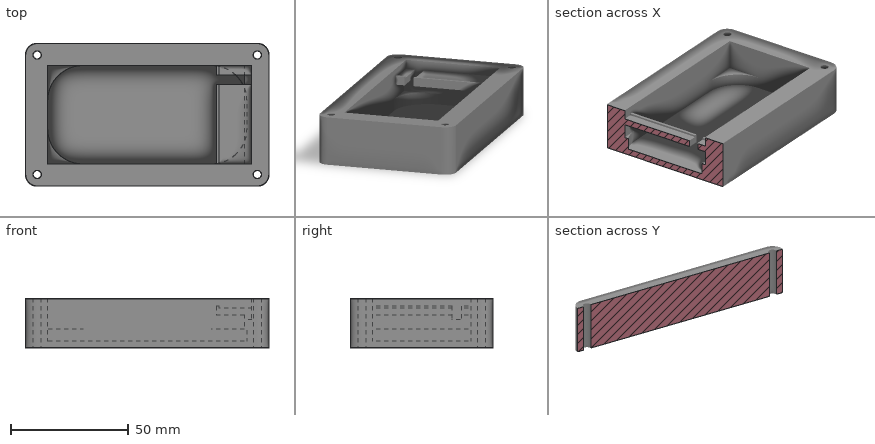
import cadquery as cq

LENGTH = 104.0
WIDTH = 61.0
HEIGHT = 21.0
CORNER_RADIUS = 5.0

HOLE_DIAMETER = 3.4
HOLE_PITCH_X = LENGTH - 2 * CORNER_RADIUS
HOLE_PITCH_Y = WIDTH - 2 * CORNER_RADIUS

FLOOR_Z = 3.0
CORNER_LEDGE_Z = 8.0
SHELF_BOTTOM_Z = 14.0
SHELF_TOP_Z = 17.0
SLOT_FLOOR_Z = 12.0

CAVITY_WIDTH = 42.0
CAVITY_LEFT = -42.5
CAVITY_RIGHT = 41.5
FLOOR_POCKET_RIGHT = -CAVITY_LEFT
MOUTH_RIGHT = 44.5
FLOOR_CORNER_RADIUS = 15.0

SHELF_LEFT = 29.6
LIP_WIDTH = 1.1
LIP_HEIGHT = 0.8
SLOT_WIDTH = 4.0
SLOT_Y_MAX = 17.0
SLOT_Y_MIN = SLOT_Y_MAX - SLOT_WIDTH


def block(x_min, x_max, y_min, y_max, z_min, z_max):
    """Box given by its limits along each axis."""
    size = (x_max - x_min, y_max - y_min, z_max - z_min)
    return cq.Workplane("XY").box(*size, centered=False).translate((x_min, y_min, z_min))


def across_cavity(x_min, x_max, z_min, z_max):
    """Box spanning the full width of the cavity."""
    return block(x_min, x_max, -CAVITY_WIDTH / 2, CAVITY_WIDTH / 2, z_min, z_max)


def make_body():
    body = cq.Workplane("XY").box(LENGTH, WIDTH, HEIGHT, centered=(True, True, False))
    return body.edges("|Z").fillet(CORNER_RADIUS)


def make_cavity():
    """Round-cornered floor pocket, square pocket above it and a longer mouth at the rim."""
    floor_pocket = across_cavity(CAVITY_LEFT, FLOOR_POCKET_RIGHT, FLOOR_Z, CORNER_LEDGE_Z)
    floor_pocket = floor_pocket.edges("|Z").fillet(FLOOR_CORNER_RADIUS)
    square_pocket = across_cavity(CAVITY_LEFT, CAVITY_RIGHT, CORNER_LEDGE_Z, HEIGHT)
    mouth = across_cavity(CAVITY_LEFT, MOUTH_RIGHT, SHELF_BOTTOM_Z, HEIGHT)
    return floor_pocket.union(square_pocket).union(mouth)


def make_shelf():
    """Shelf overhanging the cavity, with a raised lip along its free edge."""
    plate = across_cavity(SHELF_LEFT, MOUTH_RIGHT, SHELF_BOTTOM_Z, SHELF_TOP_Z)
    lip = across_cavity(SHELF_LEFT, SHELF_LEFT + LIP_WIDTH, SHELF_BOTTOM_Z, SHELF_TOP_Z + LIP_HEIGHT)
    return plate.union(lip)


def make_slot():
    """Slot along X that splits the shelf and notches the wall behind it."""
    return block(SHELF_LEFT, MOUTH_RIGHT, SLOT_Y_MIN, SLOT_Y_MAX, SLOT_FLOOR_Z, HEIGHT)


def make_screw_holes():
    holes = cq.Workplane("XY").rect(HOLE_PITCH_X, HOLE_PITCH_Y, forConstruction=True).vertices()
    return holes.circle(HOLE_DIAMETER / 2).extrude(HEIGHT)


result = make_body().cut(make_cavity()).union(make_shelf())
result = result.cut(make_slot()).cut(make_screw_holes())